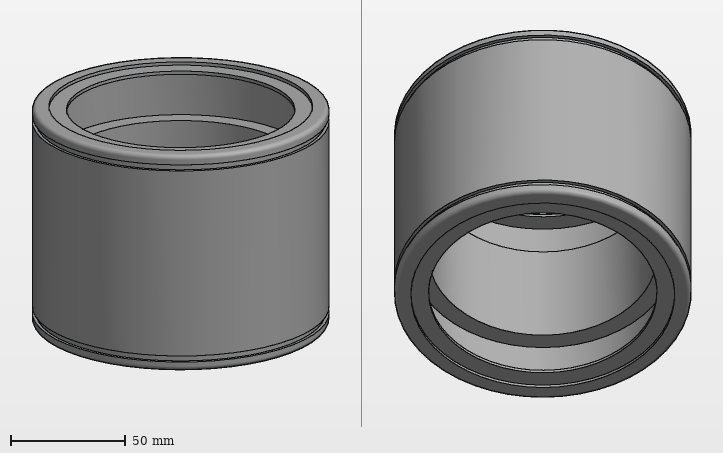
import cadquery as cq

OUTER_DIAMETER = 130.0
LENGTH = 100.0
BORE_DIAMETER = 100.0
RIM_FILLET = 2.0

OUTER_GROOVE_DIAMETER = 127.0
OUTER_GROOVE_OFFSET = 4.2
OUTER_GROOVE_WIDTH = 2.8

RECESS_DIAMETER = 115.47
COUNTERBORE_DEPTH = 1.5
LIP_THICKNESS = 1.5
RECESS_FLOOR_DEPTH = 24.5


def cylinder(diameter, bottom, height):
    """Solid cylinder on the Z axis, starting at the height `bottom`."""
    return cq.Workplane("XY").workplane(offset=bottom).circle(diameter / 2).extrude(height)


def sleeve_body():
    """Plain tube with both outer rims rounded."""
    body = cylinder(OUTER_DIAMETER, 0, LENGTH).faces("<Z or >Z").edges().fillet(RIM_FILLET)
    return body.cut(cylinder(BORE_DIAMETER, 0, LENGTH))


def top_end_cutters():
    """Material removed at the top end: outer groove, counterbore and internal recess."""
    groove_bottom = LENGTH - OUTER_GROOVE_OFFSET - OUTER_GROOVE_WIDTH
    outer_groove = cylinder(OUTER_DIAMETER, groove_bottom, OUTER_GROOVE_WIDTH).cut(
        cylinder(OUTER_GROOVE_DIAMETER, groove_bottom, OUTER_GROOVE_WIDTH)
    )
    counterbore = cylinder(RECESS_DIAMETER, LENGTH - COUNTERBORE_DEPTH, COUNTERBORE_DEPTH)
    recess_height = RECESS_FLOOR_DEPTH - COUNTERBORE_DEPTH - LIP_THICKNESS
    recess = cylinder(RECESS_DIAMETER, LENGTH - RECESS_FLOOR_DEPTH, recess_height)
    return [outer_groove, counterbore, recess]


result = sleeve_body()
for cutter in top_end_cutters():
    mirrored_cutter = cutter.mirror("XY", (0, 0, LENGTH / 2))
    result = result.cut(cutter).cut(mirrored_cutter)